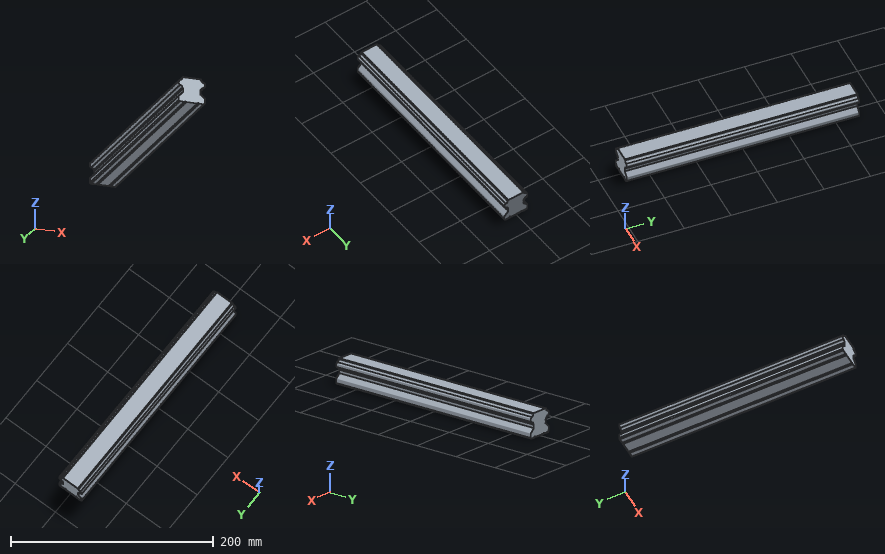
import cadquery as cq

length = 250.0
width = 28.0
height = 26.0

head_mid_z = 20.0
head_flat = 2.5
lip_width = 1.5
lip_rise = 1.5
race_inner_x = 10.0
race_rise = 5.0
race_radius = 2.5
top_bevel = 0.8

waist_half_width = 9.2
waist_top_z = 13.8
waist_bottom_z = 10.2
foot_side_z = 5.8
foot_chamfer = 1.2

corner_radius = 0.8

groove_offset = 6.8
groove_width = 2.0
groove_depth = 0.8

half_width = width / 2
race_outer_x = half_width - lip_width
race_outer_rise = head_flat / 2 + lip_rise


def make_half_rail():
    """Right half of the rail, closed on the centre plane."""
    section = (
        cq.Workplane("XZ", origin=(0, length / 2, 0))
        .moveTo(0, 0)
        .lineTo(groove_offset - groove_width / 2, 0)
        .lineTo(groove_offset, groove_depth)
        .lineTo(groove_offset + groove_width / 2, 0)
        .lineTo(half_width - foot_chamfer, 0)
        .lineTo(half_width, foot_chamfer)
        .lineTo(half_width, foot_side_z)
        .lineTo(waist_half_width, waist_bottom_z)
        .lineTo(waist_half_width, waist_top_z)
        .lineTo(race_inner_x, head_mid_z - race_rise)
        .radiusArc((race_outer_x, head_mid_z - race_outer_rise), race_radius)
        .lineTo(half_width, head_mid_z - head_flat / 2)
        .lineTo(half_width, head_mid_z + head_flat / 2)
        .lineTo(race_outer_x, head_mid_z + race_outer_rise)
        .radiusArc((race_inner_x, head_mid_z + race_rise), race_radius)
        .lineTo(race_inner_x, height - top_bevel)
        .lineTo(race_inner_x - top_bevel, height)
        .lineTo(0, height)
        .close()
    )
    return section.extrude(length)


def round_outer_corners(half_rail):
    """Round the lengthwise edges bounding the outer flats, except the foot's bottom edge."""
    corner_heights = (foot_side_z, head_mid_z - head_flat / 2, head_mid_z + head_flat / 2)
    for z in corner_heights:
        half_rail = half_rail.edges(cq.NearestToPointSelector((half_width, 0, z))).fillet(corner_radius)
    return half_rail


half_rail = round_outer_corners(make_half_rail())
result = half_rail.union(half_rail.mirror("YZ")).clean()